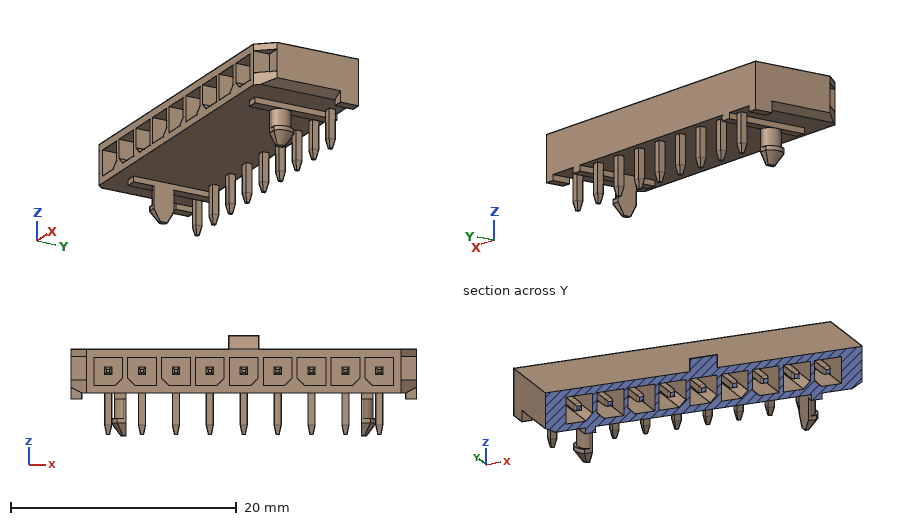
import cadquery as cq


length = 30.63
depth = 9.9
top_z = 4.45
floor_z = 0.55
corner_x = 1.4
corner_y = 1.62

notch_bottom_z = 1.7
notch_top_z = 3.8

foot_width = 0.98
foot_depth = 1.85
relief_z = 1.07

cavity_keys = "RLLRRRLRL"
pitch = 3.0
cavity_width = 2.55
cavity_bottom_z = 1.23
cavity_height = 2.48
cavity_key_cut = 0.65
cavity_depth = 7.05

pin_width = 0.65
pin_tip_width = 0.28
pin_taper = 0.85
contact_z = 2.5
contact_front_y = 2.45
tail_y = 8.9
tail_end_z = -3.12

latch_width = 2.65
latch_height = 1.2
latch_toe_y = 0.52
latch_crest_y = 2.2
latch_back_y = 2.95

peg_flat_x = 10.4
peg_y = 4.63
stem_radius = 1.05
peg_thickness = 2.02
head_radius = 1.3
head_top_z = -1.7
head_cone_z = -2.1
peg_end_z = -3.25
peg_end_radius = 0.45
peg_end_thickness = 0.75
rail_front_y = 1.55

half_length = length / 2
both_sides = (-1, 1)


def box(x_range, y_range, z_range):
    """Box between two values on each axis."""
    size = [high - low for low, high in (x_range, y_range, z_range)]
    start = (x_range[0], y_range[0], z_range[0])
    return cq.Workplane("XY").box(*size, centered=False).translate(start)


def on_side(side, inner, outer):
    """Ordered X range between two distances from the middle, on the left (-1) or right (1) side."""
    return sorted((side * inner, side * outer))


def make_housing():
    body = (
        cq.Workplane("XY", origin=(0, 0, floor_z))
        .moveTo(-half_length, depth)
        .lineTo(-half_length, corner_y)
        .lineTo(-half_length + corner_x, 0)
        .lineTo(half_length - corner_x, 0)
        .lineTo(half_length, corner_y)
        .lineTo(half_length, depth)
        .close()
        .extrude(top_z - floor_z)
    )
    for side in both_sides:
        notch_x = on_side(side, half_length - corner_x, half_length)
        body = body.cut(box(notch_x, (0, corner_y), (notch_bottom_z, notch_top_z)))
        body = body.cut(make_side_relief(side))
        foot_x = on_side(side, half_length - foot_width, half_length)
        body = body.union(box(foot_x, (depth - foot_depth, depth), (0, floor_z)))
    return body


def make_side_relief(side):
    """Wedge that slopes the lower side edge from the front to the foot."""
    edge_x = side * half_length
    return (
        cq.Workplane("XZ")
        .moveTo(edge_x, relief_z)
        .lineTo(edge_x, floor_z)
        .lineTo(edge_x - side * foot_width, floor_z)
        .close()
        .extrude(-(depth - foot_depth))
    )


def make_latch():
    return (
        cq.Workplane("YZ", origin=(-latch_width / 2, 0, top_z))
        .moveTo(latch_toe_y, 0)
        .lineTo(latch_crest_y, latch_height)
        .lineTo(latch_back_y, latch_height)
        .lineTo(latch_back_y, 0)
        .close()
        .extrude(latch_width)
    )


def make_cavity(x, key):
    side = 1 if key == "R" else -1
    keyed_x = side * cavity_width / 2
    return (
        cq.Workplane("XZ", origin=(x, 0, cavity_bottom_z))
        .moveTo(-keyed_x, 0)
        .lineTo(keyed_x - side * cavity_key_cut, 0)
        .lineTo(keyed_x, cavity_key_cut)
        .lineTo(keyed_x, cavity_height)
        .lineTo(-keyed_x, cavity_height)
        .close()
        .extrude(-cavity_depth)
    )


def make_pin_leg(start_plane, leg_length):
    """Square leg along the plane's normal, ending in a blunt pyramid."""
    shank = leg_length - pin_taper
    straight = cq.Workplane(start_plane).rect(pin_width, pin_width).extrude(shank)
    tip = (
        cq.Workplane(start_plane)
        .workplane(offset=shank)
        .rect(pin_width, pin_width)
        .workplane(offset=pin_taper)
        .rect(pin_tip_width, pin_tip_width)
        .loft(ruled=True)
    )
    return straight.union(tip)


def make_pin(x):
    bend = (x, tail_y, contact_z)
    contact = make_pin_leg(cq.Plane(bend, xDir=(1, 0, 0), normal=(0, -1, 0)), tail_y - contact_front_y)
    tail = make_pin_leg(cq.Plane(bend, xDir=(1, 0, 0), normal=(0, 0, -1)), contact_z - tail_end_z)
    return contact.union(tail)


def make_peg(side):
    """Half-round snap peg with a flat inner face, two flat sides and a tapered head."""
    stem = cq.Workplane("XY").circle(stem_radius).extrude(head_top_z)
    head = (
        cq.Workplane("XZ")
        .moveTo(0, head_top_z)
        .lineTo(head_radius, head_top_z)
        .lineTo(head_radius, head_cone_z)
        .lineTo(peg_end_radius, peg_end_z)
        .lineTo(0, peg_end_z)
        .close()
        .revolve(360, (0, 0, 0), (0, 1, 0))
    )
    half_side = (
        cq.Workplane("YZ")
        .moveTo(-peg_thickness / 2, 0)
        .lineTo(-peg_thickness / 2, head_cone_z)
        .lineTo(-peg_end_thickness / 2, peg_end_z)
        .lineTo(peg_end_thickness / 2, peg_end_z)
        .lineTo(peg_thickness / 2, head_cone_z)
        .lineTo(peg_thickness / 2, 0)
        .close()
        .extrude(side * head_radius)
    )
    return stem.union(head).intersect(half_side).translate((side * peg_flat_x, peg_y, 0))


def make_rail(side):
    rail_x = on_side(side, peg_flat_x, peg_flat_x + stem_radius)
    return box(rail_x, (rail_front_y, depth), (0, floor_z))


result = make_housing().union(make_latch())
for side in both_sides:
    result = result.union(make_rail(side)).union(make_peg(side))

first_pin_x = -pitch * (len(cavity_keys) - 1) / 2
for position, key in enumerate(cavity_keys):
    circuit_x = first_pin_x + position * pitch
    result = result.cut(make_cavity(circuit_x, key)).union(make_pin(circuit_x))